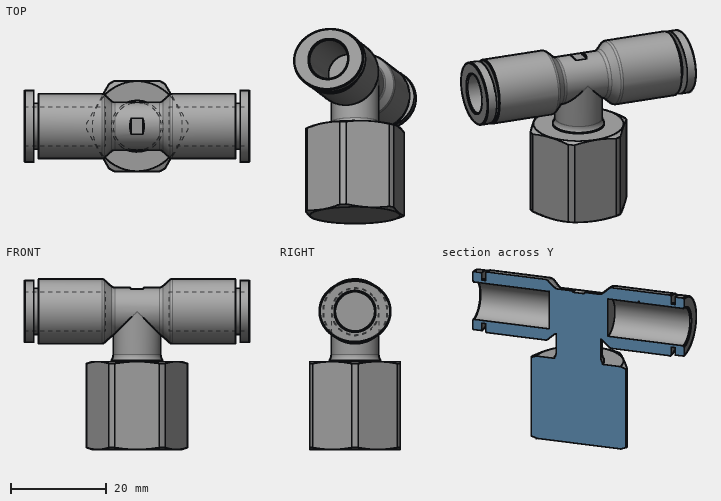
import cadquery as cq
import math


SOCKET_RADIUS = 6.8
NECK_RADIUS = 5.0
SOCKET_END_X = 20.7
SOCKET_EDGE_CHAMFER = 0.2
SHOULDER_INNER_X = 5.05
SHOULDER_OUTER_X = 7.05
SHOULDER_INNER_FILLET = 1.0
SHOULDER_OUTER_FILLET = 0.75

OVERALL_LENGTH = 47.2
COLLAR_END_X = OVERALL_LENGTH / 2
COLLAR_THICKNESS = 2.05
COLLAR_WIDTH = 15.0
COLLAR_HEIGHT = 13.0
COLLAR_CHAMFER = 0.2
SLEEVE_RADIUS = 4.85

BORE_RADIUS = 4.1
BORE_DEPTH = 17.0
BORE_MOUTH_CHAMFER = 0.27

OVERALL_HEIGHT = 35.7
HEX_ACROSS_FLATS = 19.0
HEX_CORNER_RADIUS = 10.6
HEX_TOP_Z = -10.5
HEX_BOTTOM_Z = SOCKET_RADIUS - OVERALL_HEIGHT
HEX_END_RADIUS = 9.4
HEX_CHAMFER_HEIGHT = 0.43

FLARE_TOP_Z = -9.0
FOOT_TOP_Z = -10.25
FOOT_RADIUS = 5.4

NOTCH_DEPTH = 0.3
NOTCH_FLOOR_LENGTH = 2.4


def make_socket():
    """Socket on the +X side with half of the neck, turned about the X axis."""
    chamfer_start_x = SOCKET_END_X - SOCKET_EDGE_CHAMFER
    profile = (
        cq.Workplane("XY")
        .moveTo(0, 0)
        .lineTo(0, NECK_RADIUS)
        .lineTo(SHOULDER_INNER_X, NECK_RADIUS)
        .lineTo(SHOULDER_OUTER_X, SOCKET_RADIUS)
        .lineTo(chamfer_start_x, SOCKET_RADIUS)
        .lineTo(SOCKET_END_X, SOCKET_RADIUS - SOCKET_EDGE_CHAMFER)
        .lineTo(SOCKET_END_X, 0)
        .close()
    )
    socket = profile.revolve(360, (0, 0, 0), (1, 0, 0))
    socket = socket.edges(rounded_edge_at(SHOULDER_OUTER_X)).fillet(SHOULDER_OUTER_FILLET)
    return socket.edges(rounded_edge_at(SHOULDER_INNER_X)).fillet(SHOULDER_INNER_FILLET)


def rounded_edge_at(x):
    """Selector for the circular shoulder edge in the plane at the given X."""
    slab_half_width = 0.01
    reach = 2 * SOCKET_RADIUS
    return cq.selectors.BoxSelector(
        (x - slab_half_width, -reach, -reach),
        (x + slab_half_width, reach, reach),
        boundingbox=True,
    )


def make_collar():
    """Oval release collar on the +X side, with the sleeve that joins it to the socket."""
    collar_start_x = COLLAR_END_X - COLLAR_THICKNESS
    flange = (
        cq.Workplane("YZ", origin=(collar_start_x, 0, 0))
        .ellipse(COLLAR_WIDTH / 2, COLLAR_HEIGHT / 2)
        .extrude(COLLAR_THICKNESS)
        .faces(">X")
        .chamfer(COLLAR_CHAMFER)
    )
    sleeve = (
        cq.Workplane("YZ", origin=(SOCKET_END_X, 0, 0))
        .circle(SLEEVE_RADIUS)
        .extrude(collar_start_x - SOCKET_END_X)
    )
    return flange.union(sleeve)


def make_bore():
    """Tool shape for the blind tube bore on the +X side."""
    floor_x = COLLAR_END_X - BORE_DEPTH
    profile = (
        cq.Workplane("XY")
        .moveTo(floor_x, 0)
        .lineTo(floor_x, BORE_RADIUS)
        .lineTo(COLLAR_END_X - BORE_MOUTH_CHAMFER, BORE_RADIUS)
        .lineTo(COLLAR_END_X, BORE_RADIUS + BORE_MOUTH_CHAMFER)
        .lineTo(COLLAR_END_X, 0)
        .close()
    )
    return profile.revolve(360, (0, 0, 0), (1, 0, 0))


def make_stem():
    """Branch stem from the run axis to the hexagon, with a concave flare above its foot."""
    flare_run = FOOT_RADIUS - NECK_RADIUS
    flare_rise = FLARE_TOP_Z - FOOT_TOP_Z
    flare_radius = (flare_run**2 + flare_rise**2) / (2 * flare_run)
    half_angle = math.asin(flare_rise / flare_radius) / 2
    flare_middle = (
        NECK_RADIUS + flare_radius * (1 - math.cos(half_angle)),
        FLARE_TOP_Z - flare_radius * math.sin(half_angle),
    )
    profile = (
        cq.Workplane("XZ")
        .moveTo(0, 0)
        .lineTo(NECK_RADIUS, 0)
        .lineTo(NECK_RADIUS, FLARE_TOP_Z)
        .threePointArc(flare_middle, (FOOT_RADIUS, FOOT_TOP_Z))
        .lineTo(FOOT_RADIUS, HEX_TOP_Z)
        .lineTo(0, HEX_TOP_Z)
        .close()
    )
    return profile.revolve(360, (0, 0, 0), (0, 1, 0))


def make_hex_body():
    """Hexagonal body with flats facing +Y and -Y, trimmed by a turned envelope."""
    hexagon = (
        cq.Workplane("XY", origin=(0, 0, HEX_BOTTOM_Z))
        .polygon(6, HEX_ACROSS_FLATS / math.cos(math.pi / 6))
        .extrude(HEX_TOP_Z - HEX_BOTTOM_Z)
    )
    envelope = (
        cq.Workplane("XZ")
        .moveTo(0, HEX_BOTTOM_Z)
        .lineTo(HEX_END_RADIUS, HEX_BOTTOM_Z)
        .lineTo(HEX_CORNER_RADIUS, HEX_BOTTOM_Z + HEX_CHAMFER_HEIGHT)
        .lineTo(HEX_CORNER_RADIUS, HEX_TOP_Z - HEX_CHAMFER_HEIGHT)
        .lineTo(HEX_END_RADIUS, HEX_TOP_Z)
        .lineTo(0, HEX_TOP_Z)
        .close()
        .revolve(360, (0, 0, 0), (0, 1, 0))
    )
    return hexagon.intersect(envelope)


def make_notch():
    """Tool shape for the notch, running the full width of the neck along Y."""
    half_floor = NOTCH_FLOOR_LENGTH / 2
    half_mouth = half_floor + NOTCH_DEPTH
    floor_z = NECK_RADIUS - NOTCH_DEPTH
    return (
        cq.Workplane("XZ")
        .moveTo(-half_floor, floor_z)
        .lineTo(half_floor, floor_z)
        .lineTo(half_mouth, NECK_RADIUS)
        .lineTo(-half_mouth, NECK_RADIUS)
        .close()
        .extrude(NECK_RADIUS, both=True)
    )


def on_both_ends(shape):
    """The +X shape together with its mirror image on the -X side."""
    return shape.union(shape.mirror("YZ"))


run = on_both_ends(make_socket().union(make_collar()).cut(make_bore()))
body = run.union(make_stem()).union(make_hex_body())
result = body.cut(make_notch())